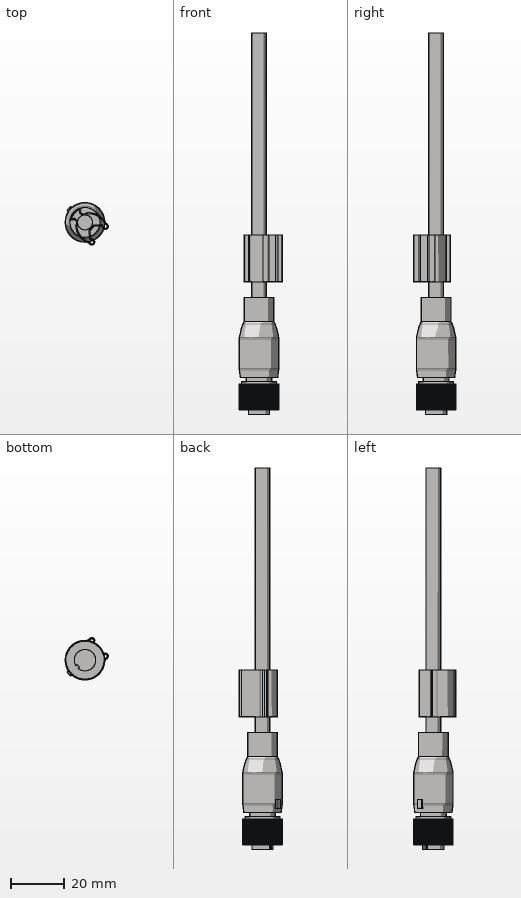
import cadquery as cq
import math

total_length = 144.0
cable_diameter = 5.6
cable_radius = cable_diameter / 2
marker_angle = 139.0
clip_angle = marker_angle - 180

insert_radius = 4.0
key_width = 1.3
key_depth = 0.7
nut_radius = 7.5
nut_bottom = 1.9
nut_top = 11.7
nut_edge = 0.1
knurl_count = 90
knurl_depth = 0.3
collar_radius = 6.6
collar_top = 12.5
neck_radius = 4.9

body_radius = 7.5
body_bottom = 14.0
body_bottom_radius = 7.0
body_straight_bottom = 17.1
body_straight_top = 28.8
body_blend = 5.0
wall_tolerance = 0.1
shoulder_radius = 6.0
shoulder_top = 34.3
shoulder_bulge_radius = 6.98
sleeve_radius = 5.6
sleeve_bottom = 35.1
sleeve_top = 44.2

mark_reach = 8.0
mark_width = 2.0
mark_bottom = 15.5
mark_top = 19.0

clip_bottom = 50.1
clip_top = 67.8
clip_wall = 0.5
hook_outer_radius = 1.2
hook_x = 6.8
hook_y = 3.9
hook_end_angle = 120.0
bow_mid = (1.2, 4.9)
bow_end = (-1.6, 3.2)
throat = (-2.3, 1.6)
neck_end = (-3.9, 1.6)
cap_radius = 5.5
cap_half_angle = 30.0
channel_floor_x = 3.3
channel_floor_half_width = 1.3
channel_rim = (5.5, 3.3)


def turned_body():
    """Insert, collar, neck, grip body, sleeve and cable as one revolved outline."""
    shoulder_mid = (shoulder_bulge_radius, (body_straight_top + shoulder_top) / 2)
    outline = (
        cq.Workplane("XZ")
        .moveTo(0, 0)
        .lineTo(insert_radius, 0)
        .lineTo(insert_radius, nut_bottom)
        .lineTo(collar_radius, nut_bottom)
        .lineTo(collar_radius, collar_top)
        .lineTo(neck_radius, collar_top)
        .lineTo(neck_radius, body_bottom)
        .lineTo(body_bottom_radius, body_bottom)
        .lineTo(body_radius, body_straight_bottom)
        .lineTo(body_radius, body_straight_top)
        .threePointArc(shoulder_mid, (shoulder_radius, shoulder_top))
        .lineTo(sleeve_radius, sleeve_bottom)
        .lineTo(sleeve_radius, sleeve_top)
        .lineTo(cable_radius, sleeve_top)
        .lineTo(cable_radius, total_length)
        .lineTo(0, total_length)
        .close()
    )
    body = outline.revolve(360, (0, 0, 0), (0, 1, 0))
    ends_of_straight_wall = [
        edge
        for edge in body.edges("%CIRCLE").vals()
        if body_straight_bottom - wall_tolerance < edge.Center().z < body_straight_top + wall_tolerance
    ]
    return body.newObject(ends_of_straight_wall).fillet(body_blend)


def knurled_nut():
    """Nut with V-shaped knurls and bevelled rims."""
    points = []
    for step in range(2 * knurl_count):
        radius = nut_radius - knurl_depth * (step % 2)
        angle = math.pi * step / knurl_count
        points.append((radius * math.cos(angle), radius * math.sin(angle)))
    height = nut_top - nut_bottom
    knurls = cq.Workplane("XY", origin=(0, 0, nut_bottom)).polyline(points).close().extrude(height)
    envelope = (
        cq.Workplane("XY", origin=(0, 0, nut_bottom))
        .circle(nut_radius)
        .extrude(height)
        .edges()
        .chamfer(nut_edge)
    )
    return knurls.intersect(envelope)


def coding_mark():
    """Raised bar on the grip body."""
    mark = cq.Workplane("XY").box(
        mark_reach - neck_radius, mark_width, mark_top - mark_bottom, centered=(False, True, False)
    )
    return mark.translate((neck_radius, 0, mark_bottom)).rotate((0, 0, 0), (0, 0, 1), marker_angle)


def insert_keyway():
    """Cutter for the key slot in the exposed end of the insert."""
    slot = cq.Workplane("XY").box(2 * key_depth, key_width, nut_bottom, centered=(True, True, False))
    return slot.translate((insert_radius, 0, 0)).rotate((0, 0, 0), (0, 0, 1), marker_angle)


def clip_strip(path):
    """Give a path the clip's wall thickness and height."""
    return path.offset2D(clip_wall / 2).extrude(clip_top - clip_bottom)


def label_clip():
    """Bow around the cable with a necked back cap, two hooks and a label channel."""
    hook = hook_outer_radius - clip_wall / 2
    hook_end = math.radians(hook_end_angle)
    bow_start = (hook_x + hook * math.cos(hook_end), hook_y + hook * math.sin(hook_end))

    def cap_point(angle_from_back):
        angle = math.radians(180 - angle_from_back)
        return cap_radius * math.cos(angle), cap_radius * math.sin(angle)

    base = cq.Workplane("XY", origin=(0, 0, clip_bottom))
    hook_strip = clip_strip(
        base.moveTo(hook_x, hook_y - hook).threePointArc((hook_x + hook, hook_y), bow_start)
    )
    bow_strip = clip_strip(base.moveTo(*bow_start).threePointArc(bow_mid, bow_end))
    cap_strip = clip_strip(
        base.moveTo(*bow_end)
        .lineTo(*throat)
        .lineTo(*neck_end)
        .lineTo(*cap_point(cap_half_angle))
        .threePointArc(cap_point(cap_half_angle / 2), cap_point(0))
    )
    channel_strip = clip_strip(
        base.moveTo(channel_floor_x, 0)
        .lineTo(channel_floor_x, channel_floor_half_width)
        .lineTo(*channel_rim)
        .lineTo(hook_x, hook_y - hook)
    )
    half = hook_strip.union(bow_strip).union(cap_strip).union(channel_strip)
    clip = half.union(half.mirror("XZ"))
    return clip.rotate((0, 0, 0), (0, 0, 1), clip_angle)


result = (
    turned_body()
    .cut(insert_keyway())
    .union(knurled_nut())
    .union(coding_mark())
    .union(label_clip())
)